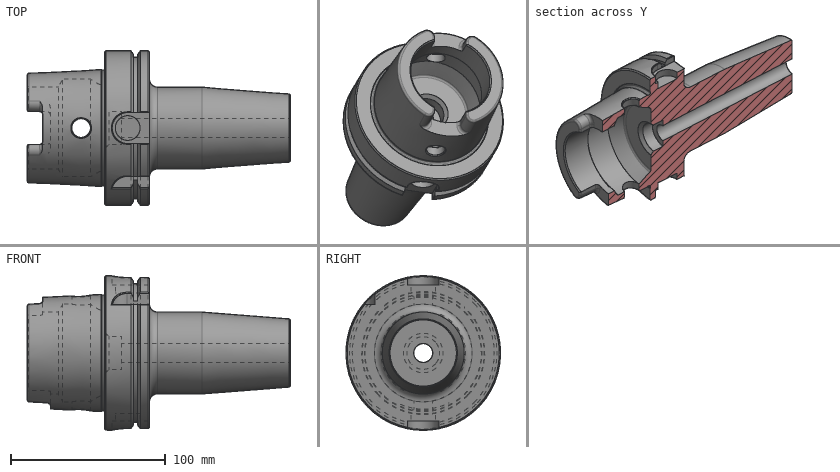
import cadquery as cq
import math


selection_margin = 0.2

total_length = 170.0
taper_end = 47.8
flange_start = 50.0
flange_end = 79.0
shaft_cylinder_end = 112.9

nose_radius = 35.5
taper_radius = 37.9
nose_edge_fillet = 1.4
relief_radius = 37.5
relief_ramp = 0.5
face_recess_radius = 39.8
face_recess_depth = 0.3
recess_corner_fillet = 0.8

flange_radius = 50.0
flange_chamfer = 0.8
groove_floor_radius = 45.9
groove_neck_radius = 47.6
groove_floor_start = 68.7
groove_floor_width = 2.7
groove_flank_run = 1.7

shaft_radius = 26.5
tip_radius = 22.1
tip_chamfer = 0.7
neck_fillet_radius = 5.1

bore_radius = 26.5
bore_chamfer = 0.8
bore_depth = 20.0
undercut_radius = 31.54
undercut_start = 23.0
undercut_end = 40.8
cavity_cone_angle = math.radians(30)
cavity_floor_radius = 24.8
cavity_floor_fillet = 1.7
counterbore_radius = 10.5
counterbore_chamfer = 2.2
counterbore_depth = 10.2
coolant_hole_radius = 6.04

cross_hole_diameter = 12.0
cross_hole_x = 34.8
cross_hole_chamfer = 0.7

drive_slot_width = 21.0
drive_slot_depth_top = 10.0
drive_slot_depth_bottom = 15.0
drive_slot_floor_fillet = 2.0
lug_corner_radius = 4.6

flange_slot_width = 20.0
slot_edge_chamfer = 0.5
flange_slot_x = 65.0
flange_slot_floor = 44.0
flange_hole_diameter = 16.0
flange_hole_depth = 5.1
notch_x = 64.6
notch_offset = 31.3


def fillet_middle(radius):
    """Distance of a right-angle fillet's middle point from either tangent line."""
    return radius * (1 - math.sqrt(0.5))


def turned_body():
    recess_x = flange_start + face_recess_depth
    recess_middle = fillet_middle(recess_corner_fillet)
    neck_middle = fillet_middle(neck_fillet_radius)
    return (
        cq.Workplane("XZ")
        .moveTo(0, 0)
        .lineTo(0, nose_radius)
        .lineTo(taper_end, taper_radius)
        .lineTo(taper_end + relief_ramp, relief_radius)
        .lineTo(recess_x - recess_corner_fillet, relief_radius)
        .threePointArc(
            (recess_x - recess_middle, relief_radius + recess_middle),
            (recess_x, relief_radius + recess_corner_fillet),
        )
        .lineTo(recess_x, face_recess_radius - face_recess_depth)
        .lineTo(flange_start, face_recess_radius)
        .lineTo(flange_start, flange_radius - flange_chamfer)
        .lineTo(flange_start + flange_chamfer, flange_radius)
        .lineTo(flange_end - flange_chamfer, flange_radius)
        .lineTo(flange_end, flange_radius - flange_chamfer)
        .lineTo(flange_end, shaft_radius + neck_fillet_radius)
        .threePointArc(
            (flange_end + neck_middle, shaft_radius + neck_middle),
            (flange_end + neck_fillet_radius, shaft_radius),
        )
        .lineTo(shaft_cylinder_end, shaft_radius)
        .lineTo(total_length - tip_chamfer, tip_radius)
        .lineTo(total_length, tip_radius - tip_chamfer)
        .lineTo(total_length, 0)
        .close()
        .revolve(360, (0, 0, 0), (1, 0, 0))
    )


def gripper_groove():
    """Ring cutter with sloped flanks above a square-sided floor."""
    groove_floor_end = groove_floor_start + groove_floor_width
    return (
        cq.Workplane("XY")
        .moveTo(groove_floor_start - groove_flank_run, flange_radius)
        .lineTo(groove_floor_start, groove_neck_radius)
        .lineTo(groove_floor_start, groove_floor_radius)
        .lineTo(groove_floor_end, groove_floor_radius)
        .lineTo(groove_floor_end, groove_neck_radius)
        .lineTo(groove_floor_end + groove_flank_run, flange_radius)
        .close()
        .revolve(360, (0, 0, 0), (1, 0, 0))
    )


def cavity():
    """Stepped bore whose undercut narrows through a cone to a filleted floor."""
    cone_tip_radius = cavity_floor_radius + cavity_floor_fillet * math.cos(cavity_cone_angle)
    cone_tip_x = undercut_end + (undercut_radius - cone_tip_radius) / math.tan(cavity_cone_angle)
    fillet_x = cone_tip_x - cavity_floor_fillet * math.sin(cavity_cone_angle)
    middle_angle = (cavity_cone_angle + math.pi / 2) / 2
    cavity_depth = fillet_x + cavity_floor_fillet
    seat_x = cavity_depth + counterbore_depth
    return (
        cq.Workplane("XY")
        .moveTo(0, 0)
        .lineTo(0, bore_radius + bore_chamfer)
        .lineTo(bore_chamfer, bore_radius)
        .lineTo(bore_depth, bore_radius)
        .lineTo(undercut_start, undercut_radius)
        .lineTo(undercut_end, undercut_radius)
        .lineTo(cone_tip_x, cone_tip_radius)
        .threePointArc(
            (
                fillet_x + cavity_floor_fillet * math.sin(middle_angle),
                cavity_floor_radius + cavity_floor_fillet * math.cos(middle_angle),
            ),
            (cavity_depth, cavity_floor_radius),
        )
        .lineTo(cavity_depth, counterbore_radius + counterbore_chamfer)
        .lineTo(cavity_depth + counterbore_chamfer, counterbore_radius)
        .lineTo(seat_x, counterbore_radius)
        .lineTo(seat_x, coolant_hole_radius)
        .lineTo(total_length, coolant_hole_radius)
        .lineTo(total_length, 0)
        .close()
        .revolve(360, (0, 0, 0), (1, 0, 0))
    )


def half_turn(shape):
    return shape.rotate((0, 0, 0), (1, 0, 0), 180)


def edges_within(shape, x_range, y_range, z_range):
    """Edges whose centres lie within the three ranges."""
    lower, upper = zip(x_range, y_range, z_range)
    return shape.edges(cq.selectors.BoxSelector(lower, upper))


def drive_slot(depth):
    """Straight slot across the nose on the +Z side."""
    return cq.Workplane("XY").box(depth, drive_slot_width, flange_radius, centered=(False, True, False))


def cut_drive_slots(body):
    """Cut both slots, then round the lug corners, the lug face rims and the slot floors."""
    body = body.cut(drive_slot(drive_slot_depth_top)).cut(half_turn(drive_slot(drive_slot_depth_bottom)))
    body = body.edges("%HYPERBOLA").fillet(lug_corner_radius)
    body = body.faces("<X").edges().fillet(nose_edge_fillet)
    floor_x = (drive_slot_depth_top - selection_margin, drive_slot_depth_bottom + selection_margin)
    floor_y = (-drive_slot_width, drive_slot_width)
    floor_z = (-bore_radius, bore_radius)
    floor_corners = edges_within(body, floor_x, floor_y, floor_z).edges("|Z")
    return floor_corners.fillet(drive_slot_floor_fillet)


def flange_slot():
    """Round-ended slot open to the shaft side, with a blind hole in its floor."""
    slot = (
        cq.Workplane("XY", origin=(flange_slot_x, 0, flange_slot_floor))
        .circle(flange_slot_width / 2)
        .extrude(flange_radius)
    )
    run_out = (
        cq.Workplane("XY")
        .box(flange_end - flange_slot_x, flange_slot_width, flange_radius, centered=(False, True, False))
        .translate((flange_slot_x, 0, flange_slot_floor))
    )
    hole = (
        cq.Workplane("XY", origin=(flange_slot_x, 0, flange_slot_floor - flange_hole_depth))
        .circle(flange_hole_diameter / 2)
        .extrude(flange_hole_depth)
    )
    return slot.union(run_out).union(hole)


def corner_notch():
    """Side notch with a flat floor and a wall that ends in a cutter radius."""
    cutter_radius = flange_slot_width / 2
    return (
        cq.Workplane("XY", origin=(0, 0, notch_offset))
        .moveTo(flange_end, -notch_offset)
        .lineTo(notch_x, -notch_offset)
        .threePointArc(
            (notch_x - cutter_radius, -notch_offset - cutter_radius),
            (notch_x, -notch_offset - 2 * cutter_radius),
        )
        .lineTo(flange_end, -notch_offset - 2 * cutter_radius)
        .close()
        .extrude(flange_radius)
    )


def cut_cross_hole(body):
    """Drill through both sides of the taper and break the outer rims."""
    radius = cross_hole_diameter / 2
    hole = (
        cq.Workplane("XY", origin=(cross_hole_x, 0, -flange_radius))
        .circle(radius)
        .extrude(2 * flange_radius)
    )
    body = body.cut(hole)
    x_range = (cross_hole_x - radius, cross_hole_x + radius)
    for z_range in ((bore_radius, flange_radius), (-flange_radius, -bore_radius)):
        body = edges_within(body, x_range, (-radius, radius), z_range).chamfer(cross_hole_chamfer)
    return body


def cut_flange_slots(body):
    """Cut the opposed slots and the notch, then break their rims on the flange rim."""
    body = body.cut(flange_slot()).cut(half_turn(flange_slot())).cut(corner_notch())
    slot_end_x = flange_slot_x - flange_slot_width / 2

    def on_flange_rim(edge):
        middle = edge.positionAt(0.5)
        radius = math.hypot(middle.y, middle.z)
        along_slot = slot_end_x < edge.Center().x < flange_end - flange_chamfer
        return along_slot and edge.geomType() != "CIRCLE" and radius > flange_radius - selection_margin

    return body.edges().filter(on_flange_rim).chamfer(slot_edge_chamfer)


result = turned_body()
result = cut_drive_slots(result)
result = cut_cross_hole(result)
result = cut_flange_slots(result)
result = result.cut(gripper_groove()).cut(cavity())